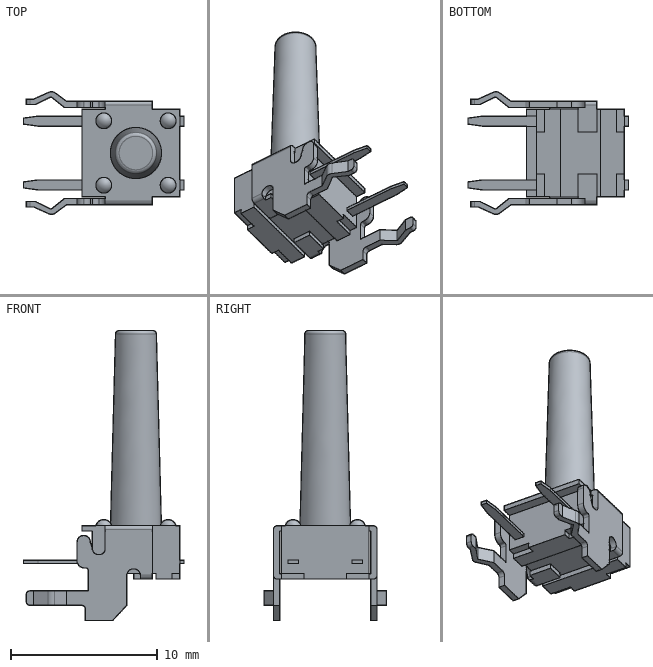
import cadquery as cq
import math


BODY_HALF = 3.0
BODY_RAISE = 0.37
FOOT_INNER_X = 1.36
NOTCH_LENGTH = 0.55
NOTCH_INNER_Y = 1.45

PLATE_TOP = 3.65
PLATE_THICKNESS = 0.38
PLATE_LEFT = -3.7
WALL_OUTER_Y = 3.55
WALL_THICKNESS = 0.45
WALL_INNER_Y = WALL_OUTER_Y - WALL_THICKNESS
WALL_RIGHT = 1.13
BEND_RADIUS = 0.27
BODY_TOP = PLATE_TOP - PLATE_THICKNESS

SLOT_RIGHT = -2.1
SLOT_WIDTH = 0.87
SLOT_RADIUS = 0.4
SLOT_LEFT = SLOT_RIGHT - SLOT_WIDTH
SLOT_BOTTOM = 1.67
SLOT_LEFT_TOP = 2.12
FINGER_LEFT = -4.03
FINGER_WIDTH = 0.92
FINGER_RADIUS = 0.45
FINGER_RIGHT = FINGER_LEFT + FINGER_WIDTH
FINGER_TOP = 2.98
FINGER_RIGHT_BOTTOM = 2.5
FINGER_BOTTOM = 0.75
FINGER_HEEL_RADIUS = 0.5
FINGER_FILLET = 0.15

LEG_LEFT = -3.27
LEG_RIGHT = -0.62
LEG_FOOT_LEFT = -3.47
LEG_FOOT_RIGHT = -1.6
LEG_BOTTOM = -2.85
LEG_CHAMFER_Z = -1.8
TANG_TIP = -7.5
TANG_TOP = -0.8
TANG_BOTTOM = -1.8
TANG_TIP_RADIUS = 0.25
LEG_FILLET = 0.25
TANG_PEAK_Y = 4.2
TANG_TIP_Y = 3.69
TANG_THICKNESS = 0.38
PEAK_LEFT = -6.0
PEAK_RIGHT = -5.55
PEAK_SHOULDER_DROP = 0.06
PEAK_INNER_LEFT = -5.86
PEAK_INNER_RIGHT = -5.76
PEAK_INNER_DROP = 0.015
KINK_START = -4.75
KINK_START_INNER = -4.88
KINK_END = -7.0
KINK_END_INNER = -6.87

TAB_LEFT = -0.15
RELIEF_RADIUS = 0.46
RELIEF_Z = 0.24

RIVET_PITCH = 4.4
RIVET_RADIUS = 0.54
RIVET_HEIGHT = 0.42

BUTTON_TOP = 17.0
BUTTON_BASE_RADIUS = 1.75
BUTTON_TIP_RADIUS = 1.4
BUTTON_FILLET = 0.26

PIN_Y = 2.18
PIN_WIDTH = 0.7
PIN_THICKNESS = 0.25
PIN_BOTTOM = 1.05
PIN_TIP = -7.7
PIN_END = 3.3
PIN_TIP_WIDTH = 0.42
PIN_TAPER_LENGTH = 1.0


def box(x_range, y_range, z_range):
    """Axis-aligned block between the given limits."""
    size = [high - low for low, high in (x_range, y_range, z_range)]
    corner = (x_range[0], y_range[0], z_range[0])
    return cq.Workplane("XY").box(*size, centered=False).translate(corner)


def make_body():
    """Square housing standing on two feet whose outer corners are notched."""
    body = box((-BODY_HALF, BODY_HALF), (-BODY_HALF, BODY_HALF), (0, BODY_TOP))
    body = body.cut(box((-FOOT_INNER_X, FOOT_INNER_X), (-BODY_HALF, BODY_HALF), (0, BODY_RAISE)))
    notch = box(
        (BODY_HALF - NOTCH_LENGTH, BODY_HALF), (NOTCH_INNER_Y, BODY_HALF), (0, BODY_RAISE)
    )
    notches = notch.union(notch.mirror("YZ"))
    return body.cut(notches).cut(notches.mirror("XZ"))


def wall_outline():
    """Side outline of a cover wall, as (x, z, corner radius); radius 0 is a sharp corner."""
    return [
        (WALL_RIGHT, PLATE_TOP, 0),
        (SLOT_RIGHT, PLATE_TOP, 0),
        (SLOT_RIGHT, SLOT_BOTTOM, SLOT_RADIUS),
        (SLOT_LEFT, SLOT_BOTTOM, SLOT_RADIUS),
        (SLOT_LEFT, SLOT_LEFT_TOP, 0),
        (FINGER_RIGHT, FINGER_RIGHT_BOTTOM, 0),
        (FINGER_RIGHT, FINGER_TOP, FINGER_RADIUS),
        (FINGER_LEFT, FINGER_TOP, FINGER_RADIUS),
        (FINGER_LEFT, FINGER_BOTTOM, FINGER_HEEL_RADIUS),
        (LEG_LEFT, FINGER_BOTTOM, FINGER_FILLET),
        (LEG_LEFT, TANG_TOP, 0),
        (TANG_TIP, TANG_TOP, TANG_TIP_RADIUS),
        (TANG_TIP, TANG_BOTTOM, TANG_TIP_RADIUS),
        (LEG_FOOT_LEFT, TANG_BOTTOM, LEG_FILLET),
        (LEG_FOOT_LEFT, LEG_BOTTOM, 0),
        (LEG_FOOT_RIGHT, LEG_BOTTOM, 0),
        (LEG_RIGHT, LEG_CHAMFER_Z, 0),
        (LEG_RIGHT, RELIEF_Z, 0),
        (LEG_RIGHT + 2 * RELIEF_RADIUS, RELIEF_Z, 0),
        (LEG_RIGHT + 2 * RELIEF_RADIUS, 0, 0),
        (WALL_RIGHT, 0, 0),
    ]


def step_towards(start, end, distance):
    """Point at the given distance from start along the line to end."""
    fraction = distance / math.dist(start, end)
    return tuple(a + (b - a) * fraction for a, b in zip(start, end))


def rounded_sheet(outline, depth):
    """Prism along +Y of an XZ outline whose marked right-angled corners are rounded."""
    points = [(x, z) for x, z, _ in outline]
    sketch = cq.Workplane("XZ").moveTo(*points[0])
    for index, (x, z, radius) in enumerate(outline):
        if index == 0:
            continue
        if radius == 0:
            sketch = sketch.lineTo(x, z)
            continue
        before = step_towards((x, z), points[index - 1], radius)
        after = step_towards((x, z), points[index + 1], radius)
        center = (before[0] + after[0] - x, before[1] + after[1] - z)
        sketch = sketch.lineTo(*before).threePointArc(step_towards(center, (x, z), radius), after)
    return sketch.close().extrude(-depth)


def wall_strip():
    """Wall seen from above: straight sheet that kinks outwards along the tang."""
    shoulder_y = TANG_PEAK_Y - PEAK_SHOULDER_DROP
    inner_peak_y = TANG_PEAK_Y - TANG_THICKNESS
    return (
        cq.Workplane("XY")
        .workplane(offset=LEG_BOTTOM)
        .moveTo(WALL_RIGHT, WALL_OUTER_Y)
        .lineTo(KINK_START, WALL_OUTER_Y)
        .lineTo(PEAK_RIGHT, shoulder_y)
        .threePointArc(((PEAK_LEFT + PEAK_RIGHT) / 2, TANG_PEAK_Y), (PEAK_LEFT, shoulder_y))
        .lineTo(KINK_END, TANG_TIP_Y)
        .lineTo(TANG_TIP, TANG_TIP_Y)
        .lineTo(TANG_TIP, TANG_TIP_Y - TANG_THICKNESS)
        .lineTo(KINK_END_INNER, TANG_TIP_Y - TANG_THICKNESS)
        .lineTo(PEAK_INNER_LEFT, inner_peak_y - PEAK_INNER_DROP)
        .threePointArc(
            ((PEAK_INNER_LEFT + PEAK_INNER_RIGHT) / 2, inner_peak_y),
            (PEAK_INNER_RIGHT, inner_peak_y - PEAK_INNER_DROP),
        )
        .lineTo(KINK_START_INNER, WALL_INNER_Y)
        .lineTo(WALL_RIGHT, WALL_INNER_Y)
        .close()
        .extrude(PLATE_TOP - LEG_BOTTOM)
    )


def make_wall():
    """Cover wall on the +Y side, with its upper wing and its folded tab."""
    relief = (
        cq.Workplane("XZ")
        .center(LEG_RIGHT + RELIEF_RADIUS, RELIEF_Z)
        .circle(RELIEF_RADIUS)
        .extrude(-WALL_OUTER_Y)
    )
    wall = rounded_sheet(wall_outline(), TANG_PEAK_Y).intersect(wall_strip()).cut(relief)
    wing = box((SLOT_RIGHT, WALL_RIGHT), (BODY_HALF, WALL_INNER_Y), (BODY_TOP, PLATE_TOP))
    tab = box((TAB_LEFT, WALL_RIGHT), (NOTCH_INNER_Y, WALL_INNER_Y), (0, BODY_RAISE))
    wall = wall.union(wing).union(tab)
    middle = (LEG_RIGHT + WALL_RIGHT) / 2
    bend_top = cq.selectors.NearestToPointSelector((middle, WALL_OUTER_Y, PLATE_TOP))
    bend_bottom = cq.selectors.NearestToPointSelector((WALL_RIGHT / 2, WALL_OUTER_Y, 0))
    return wall.edges(bend_top).fillet(BEND_RADIUS).edges(bend_bottom).fillet(BEND_RADIUS)


def make_rivets():
    """Four domed rivet heads, each a spherical cap."""
    sphere_radius = (RIVET_RADIUS**2 + RIVET_HEIGHT**2) / (2 * RIVET_HEIGHT)
    return (
        cq.Workplane("XY")
        .workplane(offset=PLATE_TOP + RIVET_HEIGHT - sphere_radius)
        .rect(RIVET_PITCH, RIVET_PITCH, forConstruction=True)
        .vertices()
        .sphere(sphere_radius)
    )


def make_button():
    """Tapered round button with a rounded top edge."""
    return (
        cq.Workplane("XZ")
        .moveTo(0, PLATE_TOP)
        .lineTo(BUTTON_BASE_RADIUS, PLATE_TOP)
        .lineTo(BUTTON_TIP_RADIUS, BUTTON_TOP)
        .lineTo(0, BUTTON_TOP)
        .close()
        .revolve(360, (0, 0, 0), (0, 1, 0))
        .faces(">Z")
        .edges()
        .fillet(BUTTON_FILLET)
    )


def make_pin(y):
    """Flat terminal through the housing, tapered at its long end."""
    half = PIN_WIDTH / 2
    tip_half = PIN_TIP_WIDTH / 2
    shoulder = PIN_TIP + PIN_TAPER_LENGTH
    return (
        cq.Workplane("XY")
        .workplane(offset=PIN_BOTTOM)
        .moveTo(PIN_END, y - half)
        .lineTo(PIN_END, y + half)
        .lineTo(shoulder, y + half)
        .lineTo(PIN_TIP, y + tip_half)
        .lineTo(PIN_TIP, y - tip_half)
        .lineTo(shoulder, y - half)
        .close()
        .extrude(PIN_THICKNESS)
    )


plate = box((PLATE_LEFT, BODY_HALF), (-BODY_HALF, BODY_HALF), (BODY_TOP, PLATE_TOP))
wall = make_wall()
result = make_body().union(plate).union(wall).union(wall.mirror("XZ"))
result = result.union(make_rivets()).union(make_button())
for pin_y in (-PIN_Y, PIN_Y):
    result = result.union(make_pin(pin_y))